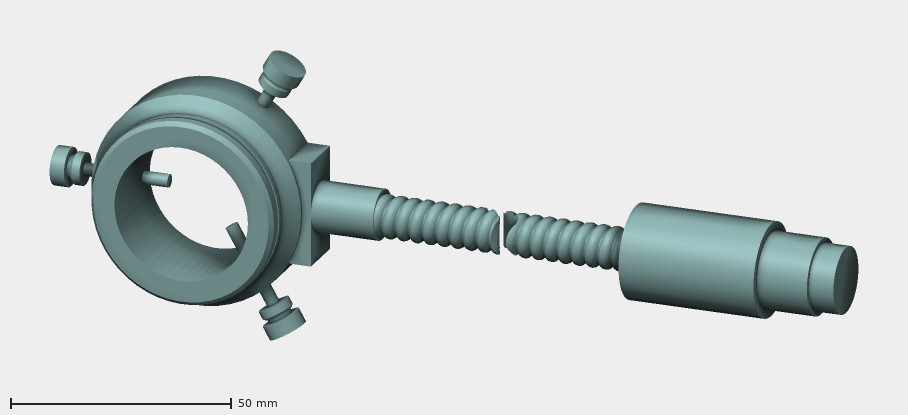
import cadquery as cq

ring_radius = 25.5
bore_radius = 16.2
neck_radius = 22.2
neck_end_chamfer = 1.0
neck_groove_depth = 0.5
band_depth = 12.7
cone_end_depth = 16.0
neck_groove_start = 18.0
neck_groove_end = 19.0
ring_depth = 22.2

screw_count = 3
screw_axis_depth = 3.5
screw_outer_end = 37.5
screw_tip = 10.0
shank_radius = 1.5
head_radius = 4.6
head_length = 3.5
waist_radius = 2.9
waist_length = 1.0
collar_radius = 3.9
collar_length = 2.5
collar_chamfer = 0.5

block_end = 27.5
block_width = 25.0
sleeve_length = 15.0
sleeve_radius = 6.0
block_depth = 2 * sleeve_radius
sleeve_end = block_end + sleeve_length

cable_axis_depth = 6.5
cable_diameter = 10.2
cable_radius = cable_diameter / 2
ridge_pitch = 3.3
ridge_height = 0.8
ridge_width = 2.9
ridge_phase = 280

break_start = 66.5
break_gap = 4.5
break_curve = [(0, 5.4), (0.2, 2.9), (3.0, 0.5), (5.4, -1.5), (3.0, -5.4)]

connector_end = 155.5
connector_steps = [(32.8, 11.2), (12.1, 9.0), (6.0, 8.0)]
connector_start = connector_end - sum(length for length, radius in connector_steps)


def make_cylinder(radius, x_start, x_end, axis_depth):
    """A cylinder along X, with its axis at the given depth in front of the ring's rear face."""
    start = cq.Workplane("YZ", origin=(x_start, -axis_depth, 0))
    return start.circle(radius).extrude(x_end - x_start)


def make_ring():
    """The turned ring: a wide band, a cone and a grooved neck."""
    groove_radius = neck_radius - neck_groove_depth
    profile = [
        (bore_radius, 0),
        (ring_radius, 0),
        (ring_radius, -band_depth),
        (neck_radius, -cone_end_depth),
        (neck_radius, -neck_groove_start),
        (groove_radius, -neck_groove_start),
        (groove_radius, -neck_groove_end),
        (neck_radius, -neck_groove_end),
        (neck_radius, neck_end_chamfer - ring_depth),
        (neck_radius - neck_end_chamfer, -ring_depth),
        (bore_radius, -ring_depth),
    ]
    return cq.Workplane("XY").polyline(profile).close().revolve(360, (0, 0, 0), (0, 1, 0))


def make_screw(angle):
    """A clamping screw with head, waist and collar, turned about the bore axis from the -X side."""
    head_inner = screw_outer_end - head_length
    collar_outer = head_inner - waist_length
    collar_inner = collar_outer - collar_length
    profile = [
        (-screw_outer_end, 0),
        (-screw_outer_end, head_radius),
        (-head_inner, head_radius),
        (-head_inner, waist_radius),
        (-collar_outer, waist_radius),
        (-collar_outer, collar_radius - collar_chamfer),
        (-collar_outer + collar_chamfer, collar_radius),
        (-collar_inner, collar_radius),
        (-collar_inner, shank_radius),
        (-screw_tip, shank_radius),
        (-screw_tip, 0),
    ]
    screw = cq.Workplane("XY").polyline(profile).close().revolve(360, (0, 0, 0), (1, 0, 0))
    return screw.translate((0, -screw_axis_depth, 0)).rotate((0, 0, 0), (0, 1, 0), angle)


def make_mount():
    """The flat-ended block on the ring and the sleeve that holds the cable."""
    block = cq.Workplane("XY").box(block_end, block_depth, block_width, centered=(False, False, True))
    block = block.translate((0, -block_depth, 0))
    clearance = cq.Workplane("XZ").circle((bore_radius + ring_radius) / 2).extrude(block_depth)
    return block.cut(clearance).union(make_cylinder(sleeve_radius, block_end, sleeve_end, sleeve_radius))


def make_cable():
    """The full length of cable from the sleeve to the connector, before it is broken."""
    length = connector_start - sleeve_end
    core_radius = cable_radius - ridge_height
    core = cq.Workplane("XY").circle(core_radius).extrude(length)

    sunk_radius = core_radius - ridge_height / 2
    half_width = ridge_width / 2
    ridge_profile = (
        cq.Workplane("XZ")
        .moveTo(sunk_radius, -half_width)
        .lineTo(core_radius, -half_width)
        .threePointArc((cable_radius, 0), (core_radius, half_width))
        .lineTo(sunk_radius, half_width)
        .close()
    )
    helix = cq.Wire.makeHelix(ridge_pitch, length + 2 * ridge_pitch, cable_radius, lefthand=True)
    ridge = ridge_profile.sweep(cq.Workplane(helix), isFrenet=True)
    ridge = ridge.translate((0, 0, -ridge_pitch)).rotate((0, 0, 0), (0, 0, 1), ridge_phase)
    span = cq.Workplane("XY").circle(2 * cable_radius).extrude(length)
    cable = core.union(ridge.intersect(span))
    return cable.rotate((0, 0, 0), (0, 1, 0), 90).translate((sleeve_end, -cable_axis_depth, 0))


def make_break():
    """The S-shaped gap across the cable, cut along Z."""
    far_side = [(x + break_gap, y) for x, y in reversed(break_curve)]
    outline = (
        cq.Workplane("XY", origin=(break_start, -cable_axis_depth, -2 * cable_radius))
        .spline(break_curve)
        .lineTo(*far_side[0])
        .spline(far_side[1:], includeCurrent=True)
        .close()
    )
    return outline.extrude(4 * cable_radius)


def make_connector():
    """The stepped barrel at the end of the cable."""
    connector = cq.Workplane("XY")
    start = connector_start
    for length, radius in connector_steps:
        connector = connector.union(make_cylinder(radius, start, start + length, cable_axis_depth))
        start += length
    return connector


broken_cable = make_cable().cut(make_break())
head_cable = broken_cable.solids("<X")
connector_cable = broken_cable.solids(">X")

head = make_ring().union(make_mount())
for index in range(screw_count):
    head = head.union(make_screw(index * 360 / screw_count))
head = head.union(head_cable)

plug = make_connector().union(connector_cable)

result = cq.Compound.makeCompound([head.val(), plug.val()])